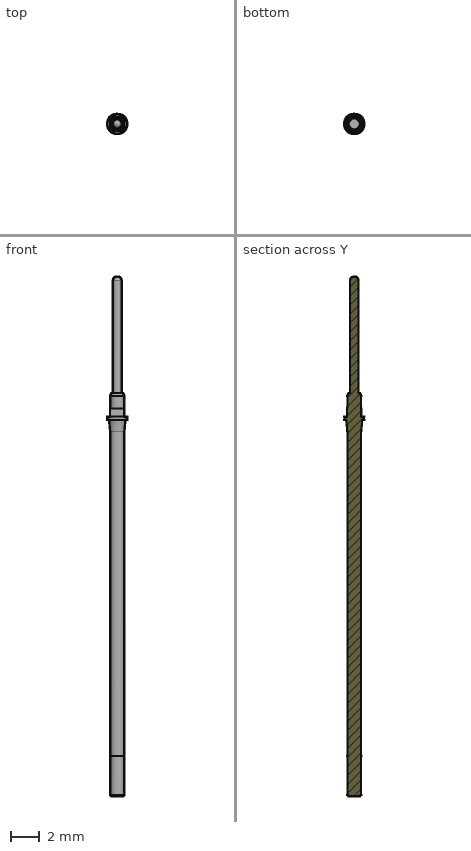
import cadquery as cq

total_length = 35.9

tail_diameter = 0.98
tail_length = 2.8
tail_chamfer = 0.1
barrel_diameter = 1.0

taper_bottom = 25.2
taper_top_diameter = 1.15
flange_bottom = 26.0
flange_thickness = 0.22
flange_diameter = 1.4
square_width = 1.0
square_height = 0.55

mouth_height = 27.85
mouth_diameter = 0.8
crimp_height = 0.2

plunger_diameter = 0.63
dome_height = 0.3

flange_top = flange_bottom + flange_thickness


def cylinder(diameter, bottom, top):
    return cq.Workplane("XY").workplane(offset=bottom).circle(diameter / 2).extrude(top - bottom)


def cone(bottom_diameter, top_diameter, bottom, top):
    return (
        cq.Workplane("XY")
        .workplane(offset=bottom)
        .circle(bottom_diameter / 2)
        .workplane(offset=top - bottom)
        .circle(top_diameter / 2)
        .loft(ruled=True)
    )


def make_tail():
    return cylinder(tail_diameter, 0, tail_length).faces("<Z").edges().chamfer(tail_chamfer)


def make_barrel():
    crimp_bottom = mouth_height - crimp_height
    straight = cylinder(barrel_diameter, tail_length, crimp_bottom)
    return straight.union(cone(barrel_diameter, mouth_diameter, crimp_bottom, mouth_height))


def make_collar():
    taper = cone(barrel_diameter, taper_top_diameter, taper_bottom, flange_bottom)
    flange = cylinder(flange_diameter, flange_bottom, flange_top)
    square = (
        cq.Workplane("XY")
        .workplane(offset=flange_top)
        .rect(square_width, square_width)
        .extrude(square_height)
        .intersect(cylinder(flange_diameter, flange_top, flange_top + square_height))
    )
    return taper.union(flange).union(square)


def make_plunger():
    radius = plunger_diameter / 2
    dome_base = total_length - dome_height
    sphere_radius = (radius**2 + dome_height**2) / (2 * dome_height)
    sphere = cq.Workplane("XY").sphere(sphere_radius).translate((0, 0, total_length - sphere_radius))
    dome = sphere.intersect(cylinder(plunger_diameter, dome_base, total_length))
    return cylinder(plunger_diameter, mouth_height, dome_base).union(dome)


result = make_tail().union(make_barrel()).union(make_collar()).union(make_plunger())